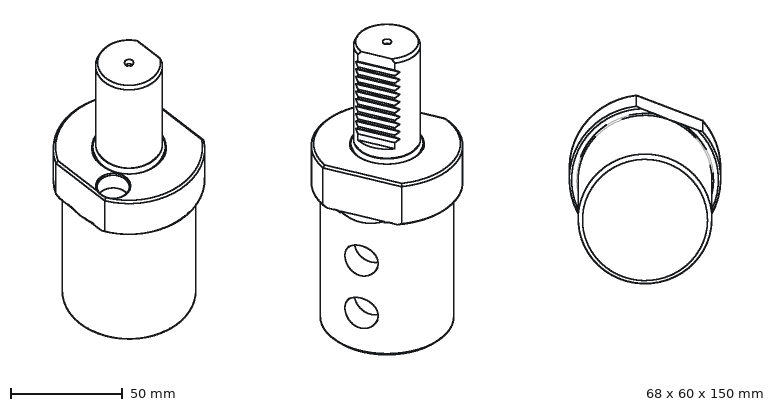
import cadquery as cq
import math

total_height = 150.0
body_radius = 30.0
body_chamfer = 2.0
flange_bottom = 73.0
flange_top = 95.1
flange_diameter = 68.0
flange_radius = flange_diameter / 2
flange_chamfer = 1.0
flange_root_fillet = 0.8
front_flat = 30.0
rear_flat = 28.0
rear_relief = 2.0

shank_radius = 15.0
tip_inset = 0.9
tip_height = 2.0
neck_radius = 14.2
foot_height = 2.1

ring_tube_radius = 1.4
ring_center_radius = 14.8
groove_radius = 16.6
groove_depth = 1.0

serration_flat = 12.0
serration_length = 48.0
tooth_count = 10
tooth_pitch = 4.0
tooth_depth = 1.5
first_valley_depth = 7.2

center_hole_radius = 1.0
center_cone_radius = 2.02
center_hole_depth = 4.5
center_cone_angle = 60.0
drill_point_angle = 118.0
port_x = 12.6
port_y = -21.6
port_radius = 7.2
port_depth = 8.8
port_chamfer = 0.6
screw_hole_radius = 8.1
screw_hole_depth = 12.0
screw_hole_heights = (22.2, 50.4)


def cone_depth(radius, included_angle):
    """Depth of a cone with the given mouth radius and included angle."""
    return radius / math.tan(math.radians(included_angle / 2))


def make_body():
    body = cq.Workplane("XY").circle(body_radius).extrude(flange_bottom)
    return body.faces("<Z").chamfer(body_chamfer)


def make_flange():
    """Collar with a rounded root, cut by two flats and chamfered top and bottom."""
    blank = (
        cq.Workplane("XZ")
        .moveTo(0, flange_bottom - flange_root_fillet)
        .lineTo(body_radius, flange_bottom - flange_root_fillet)
        .radiusArc((body_radius + flange_root_fillet, flange_bottom), flange_root_fillet)
        .lineTo(flange_radius - flange_chamfer, flange_bottom)
        .lineTo(flange_radius, flange_bottom + flange_chamfer)
        .lineTo(flange_radius, flange_top)
        .lineTo(0, flange_top)
        .close()
        .revolve(360, (0, 0), (0, 1))
    )
    between_flats = (
        cq.Workplane("XY")
        .rect(flange_diameter, front_flat + rear_flat)
        .extrude(total_height)
        .translate((0, (rear_flat - front_flat) / 2, 0))
    )
    return blank.intersect(between_flats).faces(">Z").chamfer(flange_chamfer)


def make_rear_relief():
    """Sloped cut that runs the rear flat down into the top of the body."""
    return (
        cq.Workplane("YZ")
        .moveTo(rear_flat, flange_bottom)
        .lineTo(rear_flat + rear_relief, flange_bottom)
        .lineTo(rear_flat + rear_relief, flange_bottom - rear_relief)
        .close()
        .extrude(body_radius, both=True)
    )


def make_ring_groove():
    return (
        cq.Workplane("XY")
        .workplane(offset=flange_top - groove_depth)
        .circle(groove_radius)
        .circle(neck_radius)
        .extrude(groove_depth)
    )


def make_seal_ring():
    return (
        cq.Workplane("XZ")
        .center(ring_center_radius, flange_top)
        .circle(ring_tube_radius)
        .revolve(360, (-ring_center_radius, 0), (-ring_center_radius, 1))
    )


def make_shank():
    foot = flange_top + foot_height
    undercut = shank_radius - neck_radius
    return (
        cq.Workplane("XZ")
        .moveTo(0, flange_top - groove_depth)
        .lineTo(neck_radius, flange_top - groove_depth)
        .lineTo(neck_radius, foot - undercut)
        .lineTo(shank_radius, foot)
        .lineTo(shank_radius, total_height - tip_height)
        .lineTo(shank_radius - tip_inset, total_height)
        .lineTo(0, total_height)
        .close()
        .revolve(360, (0, 0), (0, 1))
    )


def make_serration():
    """Flat and 90 degree V grooves that are removed from the shank."""
    profile = cq.Workplane("YZ").moveTo(serration_flat, total_height)
    for tooth in range(tooth_count):
        valley = total_height - first_valley_depth - tooth * tooth_pitch
        profile = (
            profile.lineTo(serration_flat, valley + tooth_depth)
            .lineTo(serration_flat - tooth_depth, valley)
            .lineTo(serration_flat, valley - tooth_depth)
        )
    shoulder = total_height - serration_length
    return (
        profile.lineTo(serration_flat, shoulder)
        .lineTo(shank_radius, shoulder)
        .lineTo(shank_radius, total_height)
        .close()
        .extrude(shank_radius, both=True)
    )


def make_center_hole():
    cone_height = cone_depth(center_cone_radius - center_hole_radius, center_cone_angle)
    return (
        cq.Workplane("XZ")
        .moveTo(0, total_height)
        .lineTo(center_cone_radius, total_height)
        .lineTo(center_hole_radius, total_height - cone_height)
        .lineTo(center_hole_radius, total_height - center_hole_depth)
        .lineTo(0, total_height - center_hole_depth - cone_depth(center_hole_radius, drill_point_angle))
        .close()
        .revolve(360, (0, 0), (0, 1))
    )


def make_port():
    """Chamfered blind hole with a drill point in the top of the flange."""
    floor = flange_top - port_depth
    return (
        cq.Workplane("XZ")
        .moveTo(0, flange_top)
        .lineTo(port_radius + port_chamfer, flange_top)
        .lineTo(port_radius, flange_top - port_chamfer)
        .lineTo(port_radius, floor)
        .lineTo(0, floor - cone_depth(port_radius, drill_point_angle))
        .close()
        .revolve(360, (0, 0), (0, 1))
        .translate((port_x, port_y, 0))
    )


def make_screw_holes():
    """Radial blind holes in the +Y side of the body."""
    return (
        cq.Workplane("XZ", origin=(0, body_radius, 0))
        .pushPoints([(0, height) for height in screw_hole_heights])
        .circle(screw_hole_radius)
        .extrude(screw_hole_depth)
    )


holder = make_body().union(make_flange())
holder = holder.cut(make_rear_relief()).cut(make_ring_groove())
holder = holder.union(make_shank().cut(make_serration())).union(make_seal_ring())
result = holder.cut(make_center_hole()).cut(make_port()).cut(make_screw_holes())